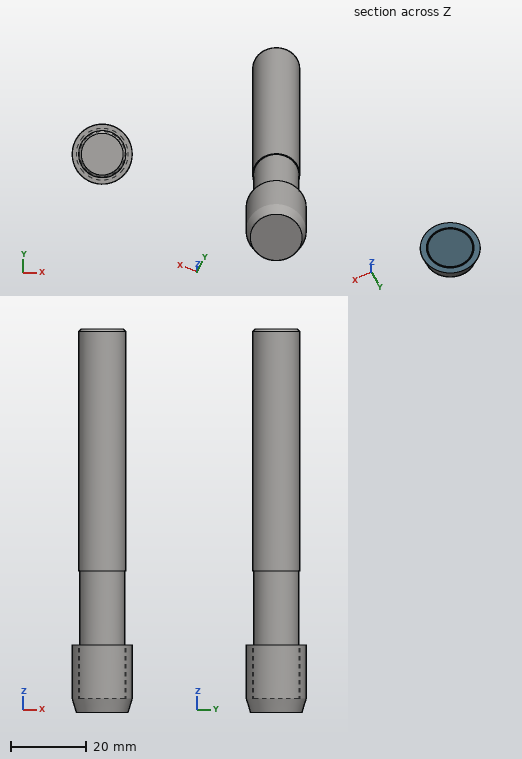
import cadquery as cq

total_height = 102.0

sleeve_diameter = 16.0
sleeve_height = 18.0
foot_diameter = 13.8
foot_height = 3.7
bore_diameter = 12.5
bore_floor = foot_height

shaft_diameter = bore_diameter
shaft_bottom = 37.6
shaft_chamfer = 0.7
neck_diameter = 12.0


def cylinder(diameter, bottom, top):
    """Upright cylinder on the Z axis between two heights."""
    return cq.Workplane("XY").workplane(offset=bottom).circle(diameter / 2).extrude(top - bottom)


def make_sleeve():
    """Round cup with a conical foot and a blind bore open at the top."""
    body = (
        cq.Workplane("XZ")
        .lineTo(foot_diameter / 2, 0)
        .lineTo(sleeve_diameter / 2, foot_height)
        .lineTo(sleeve_diameter / 2, sleeve_height)
        .lineTo(0, sleeve_height)
        .close()
        .revolve(360, (0, 0, 0), (0, 1, 0))
    )
    return body.cut(cylinder(bore_diameter, bore_floor, sleeve_height))


def make_pin():
    """Stepped pin resting on the bore floor, chamfered at its top end."""
    shaft = cylinder(shaft_diameter, shaft_bottom, total_height)
    shaft = shaft.faces(">Z").edges().chamfer(shaft_chamfer)
    neck = cylinder(neck_diameter, bore_floor, shaft_bottom)
    return shaft.union(neck)


sleeve = make_sleeve()
pin = make_pin()

result = cq.Compound.makeCompound([sleeve.val(), *pin.vals()])